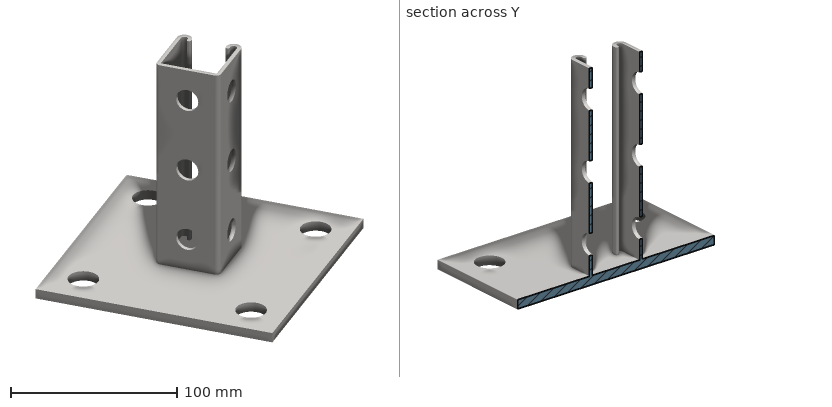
import cadquery as cq

PLATE_SIDE = 152.4
PLATE_THICKNESS = 6.35
ANCHOR_HOLE_DIAMETER = 19.05
ANCHOR_HOLE_SPACING = 107.95

CHANNEL_SIDE = 41.275
WALL = 2.66
CORNER_RADIUS = 3.2
POST_HEIGHT = 136.525
LIP_WIDTH = 9.525
LIP_DEPTH = 7.14

BOLT_HOLE_DIAMETER = 14.2875
BOLT_HOLE_PITCH = 47.625
BOLT_HOLE_COUNT = 3

HALF_SIDE = CHANNEL_SIDE / 2
BEND_OUTER_RADIUS = LIP_WIDTH / 2
BEND_INNER_RADIUS = BEND_OUTER_RADIUS - WALL
FIRST_BOLT_HOLE_Z = PLATE_THICKNESS + (POST_HEIGHT - BOLT_HOLE_PITCH * (BOLT_HOLE_COUNT - 1)) / 2


def make_plate():
    """Square base plate with four anchor holes."""
    plate = cq.Workplane("XY").rect(PLATE_SIDE, PLATE_SIDE).extrude(PLATE_THICKNESS)
    anchor_holes = (
        cq.Workplane("XY")
        .rect(ANCHOR_HOLE_SPACING, ANCHOR_HOLE_SPACING, forConstruction=True)
        .vertices()
        .circle(ANCHOR_HOLE_DIAMETER / 2)
        .extrude(PLATE_THICKNESS)
    )
    return plate.cut(anchor_holes)


def make_channel_half():
    """Left half of the channel: half the web, one side wall and its inturned lip."""
    inner_wall_x = -HALF_SIDE + WALL
    inner_web_y = -HALF_SIDE + WALL
    bend_x = -HALF_SIDE + BEND_OUTER_RADIUS
    bend_y = HALF_SIDE - BEND_OUTER_RADIUS
    lip_outer_x = bend_x + BEND_OUTER_RADIUS
    lip_inner_x = bend_x + BEND_INNER_RADIUS
    lip_tip_y = HALF_SIDE - LIP_DEPTH
    lip_round_y = lip_tip_y + WALL / 2
    half = (
        cq.Workplane("XY", origin=(0, 0, PLATE_THICKNESS))
        .moveTo(0, -HALF_SIDE)
        .lineTo(-HALF_SIDE + CORNER_RADIUS, -HALF_SIDE)
        .radiusArc((-HALF_SIDE, -HALF_SIDE + CORNER_RADIUS), CORNER_RADIUS)
        .lineTo(-HALF_SIDE, bend_y)
        .threePointArc((bend_x, HALF_SIDE), (lip_outer_x, bend_y))
        .lineTo(lip_outer_x, lip_round_y)
        .threePointArc(((lip_outer_x + lip_inner_x) / 2, lip_tip_y), (lip_inner_x, lip_round_y))
        .lineTo(lip_inner_x, bend_y)
        .threePointArc((bend_x, bend_y + BEND_INNER_RADIUS), (inner_wall_x, bend_y))
        .lineTo(inner_wall_x, inner_web_y)
        .lineTo(0, inner_web_y)
        .close()
        .extrude(POST_HEIGHT)
    )
    return half


def make_bolt_holes():
    """Cylinders crossing the post along X and along Y at each bolt height."""
    cutters = cq.Workplane("XY")
    for index in range(BOLT_HOLE_COUNT):
        height = FIRST_BOLT_HOLE_Z + index * BOLT_HOLE_PITCH
        for plane in ("XZ", "YZ"):
            cutter = (
                cq.Workplane(plane, origin=(0, 0, height))
                .circle(BOLT_HOLE_DIAMETER / 2)
                .extrude(HALF_SIDE, both=True)
            )
            cutters = cutters.add(cutter)
    return cutters.combine()


def make_post():
    """Slotted channel with rolled lips and bolt holes."""
    half = make_channel_half()
    channel = half.union(half.mirror("YZ"))
    return channel.cut(make_bolt_holes())


result = make_plate().union(make_post())